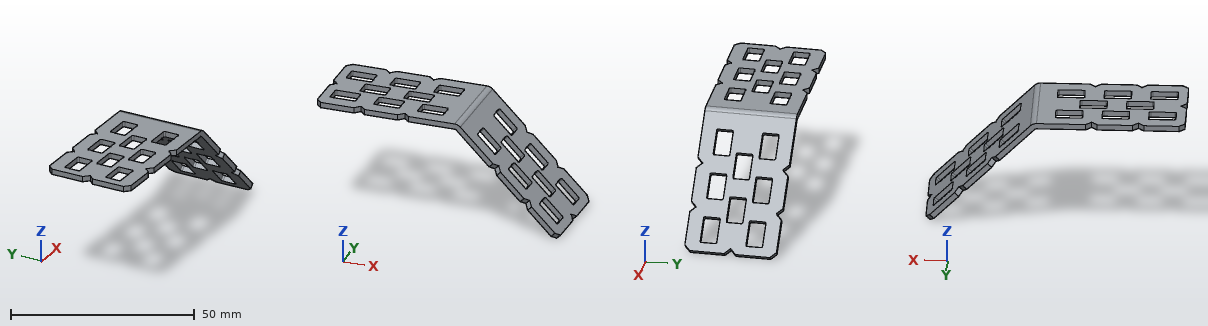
import cadquery as cq
import math

overall_length = 70.65
pitch = 12.7
thickness = 1.6
inner_radius = 0.7
bend_angle = 45.0
hole_length = 7.4
hole_width = 4.6
hole_corner_radius = 0.4
notch_depth = 1.55

width = 2 * pitch
outer_radius = inner_radius + thickness
bend_sine = math.sin(math.radians(bend_angle))
bend_cosine = math.cos(math.radians(bend_angle))
leg_length = (overall_length - outer_radius * bend_sine) / (1 + bend_cosine)


def make_leg():
    """Flat perforated leg: free end at X = 0, bend end at X = leg_length, top face at Z = 0."""
    leg = (
        cq.Workplane("XY")
        .box(leg_length, width, thickness, centered=(False, True, False))
        .translate((0, 0, -thickness))
    )

    notch_points = [(0, 0)]
    for side in (-1, 1):
        for step in range(3):
            notch_points.append((step * pitch, side * width / 2))
    notches = (
        cq.Workplane("XY")
        .pushPoints(notch_points)
        .polygon(4, 2 * notch_depth)
        .extrude(-thickness)
    )

    hole_points = [(pitch, 0), (2 * pitch, 0)]
    for side in (-1, 1):
        for step in range(3):
            hole_points.append(((step + 0.5) * pitch, side * pitch / 2))
    holes = (
        cq.Workplane("XY")
        .pushPoints(hole_points)
        .rect(hole_length, hole_width)
        .extrude(-thickness)
        .edges("|Z")
        .fillet(hole_corner_radius)
    )
    return leg.cut(notches).cut(holes)


def make_bend():
    """Curved strip that joins the level leg to the sloping leg."""
    profile = cq.Workplane("YZ", origin=(leg_length, 0, -thickness / 2)).rect(width, thickness)
    axis_height = thickness / 2 - outer_radius
    return profile.revolve(bend_angle, (0, axis_height), (1, axis_height))


level_leg = make_leg()

sloping_leg = (
    make_leg()
    .mirror("YZ")
    .translate((2 * leg_length, 0, 0))
    .rotate((leg_length, 0, -outer_radius), (leg_length, 1, -outer_radius), bend_angle)
)

result = level_leg.union(make_bend()).union(sloping_leg)